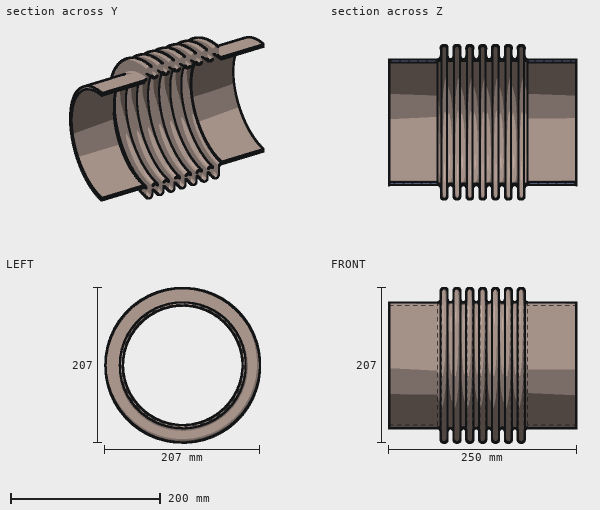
import cadquery as cq
import math

total_length = 250.0
pipe_outer_radius = 168.2 / 2
pipe_inner_radius = 159.2 / 2

crest_radius = 207.0 / 2
root_outer_radius = pipe_outer_radius
root_inner_radius = 163.2 / 2
sheet_thickness = 1.0
bellows_length = 120.0
convolution_count = 7

pitch = bellows_length / convolution_count
middle_bend_radius = pitch / 4
tight_bend = middle_bend_radius - sheet_thickness / 2
wide_bend = middle_bend_radius + sheet_thickness / 2


def revolve_about_x(profile):
    return profile.close().revolve(360, (0, 0, 0), (1, 0, 0))


def bellows_envelope(root_radius, top_radius, root_bend, crest_bend):
    """Solid bounded by one face of the bellows sheet, filled in to the axis."""
    wall_bottom = root_radius + root_bend
    wall_top = top_radius - crest_bend
    root_rise = root_bend * (1 - math.cos(math.pi / 4))
    root_run = root_bend * math.sin(math.pi / 4)
    start = -bellows_length / 2
    profile = cq.Workplane("XY").moveTo(start, 0).lineTo(start, root_radius)
    for i in range(convolution_count):
        left = start + i * pitch
        right = left + pitch
        crest = left + pitch / 2
        profile = (
            profile
            .threePointArc((left + root_run, root_radius + root_rise), (left + root_bend, wall_bottom))
            .lineTo(crest - crest_bend, wall_top)
            .threePointArc((crest, top_radius), (crest + crest_bend, wall_top))
            .lineTo(right - root_bend, wall_bottom)
            .threePointArc((right - root_run, root_radius + root_rise), (right, root_radius))
        )
    return revolve_about_x(profile.lineTo(start + bellows_length, 0))


def pipe_end(start, length):
    """Plain pipe end running from start along +X."""
    return (
        cq.Workplane("YZ", origin=(start, 0, 0))
        .circle(pipe_outer_radius)
        .circle(pipe_inner_radius)
        .extrude(length)
    )


outer_envelope = bellows_envelope(root_outer_radius, crest_radius, tight_bend, wide_bend)
inner_envelope = bellows_envelope(
    root_inner_radius, crest_radius - sheet_thickness, wide_bend, tight_bend
)
bellows = outer_envelope.cut(inner_envelope)

pipe_length = (total_length - bellows_length) / 2
left_pipe = pipe_end(-total_length / 2, pipe_length)
right_pipe = pipe_end(bellows_length / 2, pipe_length)

result = bellows.union(left_pipe).union(right_pipe)